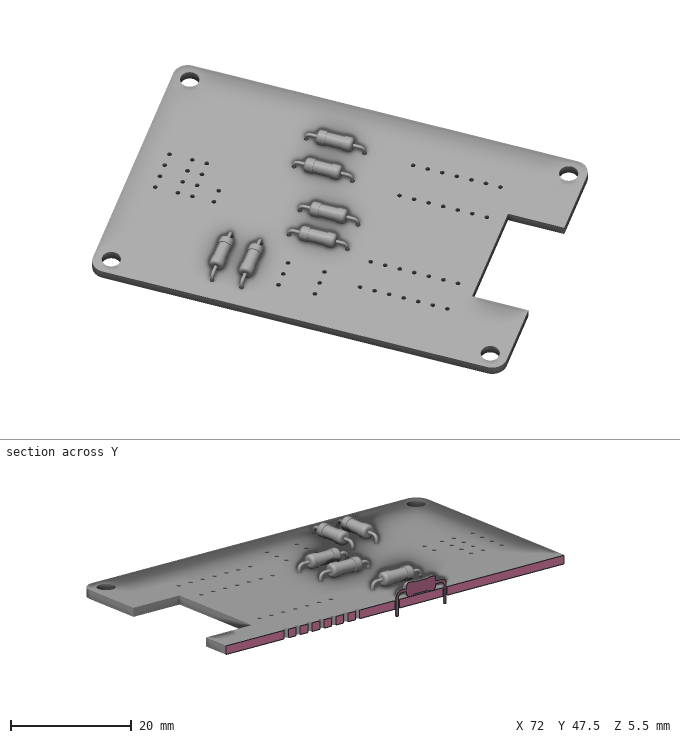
import cadquery as cq
import math

BOARD_LENGTH = 72.0
BOARD_WIDTH = 47.5
BOARD_THICKNESS = 1.6
CORNER_RADIUS = 2.5

NOTCH_DEPTH = 9.8
NOTCH_TOP_Y = 9.2
NOTCH_BOTTOM_Y = -9.8

MOUNTING_HOLE_DIAMETER = 3.2
MOUNTING_HOLE_X = 33.0
MOUNTING_HOLE_Y = 20.7

PIN_HOLE_DIAMETER = 0.8

HEADER_ROW_STARTS = [(8.0, 14.4), (7.9, 7.4), (7.9, -7.85), (8.0, -13.7)]
HEADER_ROW_COUNT = 7
HEADER_ROW_SPAN = 15.2

PIN_PITCH = HEADER_ROW_SPAN / (HEADER_ROW_COUNT - 1)

HOLE_COLUMNS = [
    (-31.0, -3.45, 4),
    (-27.1, -3.45, 4),
    (-24.55, -3.45, 4),
    (-20.8, -3.45, 2),
    (-5.0, -17.4, 3),
    (1.4, -17.4, 3),
]

CAP_DIAMETER = 2.5
CAP_LENGTH = 1.6
CAP_FILLET = 0.6
BARREL_DIAMETER = 2.2
RESISTOR_LENGTH = 6.3

LEAD_DIAMETER = 0.6
LEAD_SPACING = 10.15
LEAD_BEND_RADIUS = 0.9
LEAD_PROTRUSION = 1.4

RESISTOR_PLACES = [
    (-5.55, 14.4, 0),
    (-5.55, 8.0, 0),
    (-1.65, -0.9, 0),
    (-1.65, -6.5, 0),
    (-15.7, -14.8, 90),
    (-10.6, -14.8, 90),
]

AXIS_HEIGHT = BOARD_THICKNESS + CAP_DIAMETER / 2


def header_holes():
    """Centres of the holes in the long header rows."""
    return [
        (start_x + i * PIN_PITCH, y)
        for start_x, y in HEADER_ROW_STARTS
        for i in range(HEADER_ROW_COUNT)
    ]


def column_holes():
    """Centres of the holes in the short columns."""
    return [
        (x, start_y + i * PIN_PITCH)
        for x, start_y, count in HOLE_COLUMNS
        for i in range(count)
    ]


def lead_holes():
    """Centres of the two lead holes of every resistor."""
    centres = []
    for x, y, turn in RESISTOR_PLACES:
        reach_x = LEAD_SPACING / 2 * math.cos(math.radians(turn))
        reach_y = LEAD_SPACING / 2 * math.sin(math.radians(turn))
        centres += [(x - reach_x, y - reach_y), (x + reach_x, y + reach_y)]
    return centres


def make_board():
    """Rounded plate with an edge notch, mounting holes and pin holes; its bottom is at Z = 0."""
    plate = (
        cq.Workplane("XY")
        .rect(BOARD_LENGTH, BOARD_WIDTH)
        .extrude(BOARD_THICKNESS)
        .edges("|Z")
        .fillet(CORNER_RADIUS)
    )
    notch = (
        cq.Workplane("XY")
        .moveTo(BOARD_LENGTH / 2 - NOTCH_DEPTH / 2, (NOTCH_TOP_Y + NOTCH_BOTTOM_Y) / 2)
        .rect(NOTCH_DEPTH, NOTCH_TOP_Y - NOTCH_BOTTOM_Y)
        .extrude(BOARD_THICKNESS)
    )
    mounting_holes = (
        cq.Workplane("XY")
        .rect(2 * MOUNTING_HOLE_X, 2 * MOUNTING_HOLE_Y, forConstruction=True)
        .vertices()
        .circle(MOUNTING_HOLE_DIAMETER / 2)
        .extrude(BOARD_THICKNESS)
    )
    pin_holes = (
        cq.Workplane("XY")
        .pushPoints(header_holes() + column_holes() + lead_holes())
        .circle(PIN_HOLE_DIAMETER / 2)
        .extrude(BOARD_THICKNESS)
    )
    return plate.cut(notch).cut(mounting_holes).cut(pin_holes).solids()


def make_resistor_body():
    """Barrel along X with a wider, rounded cap at each end, centred on the origin."""
    barrel_reach = RESISTOR_LENGTH / 2 - CAP_LENGTH
    barrel = cq.Workplane("YZ").circle(BARREL_DIAMETER / 2).extrude(barrel_reach, both=True)
    cap = (
        cq.Workplane("YZ", origin=(barrel_reach, 0, 0))
        .circle(CAP_DIAMETER / 2)
        .extrude(CAP_LENGTH)
        .faces(">X")
        .edges()
        .fillet(CAP_FILLET)
    )
    return barrel.union(cap).union(cap.mirror("YZ"))


def make_lead_wire():
    """One wire that runs along the resistor axis and bends down at both ends."""
    end_x = LEAD_SPACING / 2
    bend_x = end_x - LEAD_BEND_RADIUS
    bottom_z = -AXIS_HEIGHT - LEAD_PROTRUSION
    mid_offset = LEAD_BEND_RADIUS * (1 - math.sqrt(0.5))
    path = (
        cq.Workplane("XZ")
        .moveTo(-end_x, bottom_z)
        .lineTo(-end_x, -LEAD_BEND_RADIUS)
        .threePointArc((-end_x + mid_offset, -mid_offset), (-bend_x, 0))
        .lineTo(bend_x, 0)
        .threePointArc((end_x - mid_offset, -mid_offset), (end_x, -LEAD_BEND_RADIUS))
        .lineTo(end_x, bottom_z)
    )
    return cq.Workplane("XY", origin=(-end_x, 0, bottom_z)).circle(LEAD_DIAMETER / 2).sweep(path)


def make_resistor(x, y, turn):
    """One axial resistor, body and leads in one solid, placed on the board."""
    resistor = make_resistor_body().union(make_lead_wire()).solids()
    return resistor.rotate((0, 0, 0), (0, 0, 1), turn).translate((x, y, AXIS_HEIGHT))


board = make_board()
resistors = [make_resistor(*place) for place in RESISTOR_PLACES]

result = cq.Compound.makeCompound([board.val(), *[resistor.val() for resistor in resistors]])